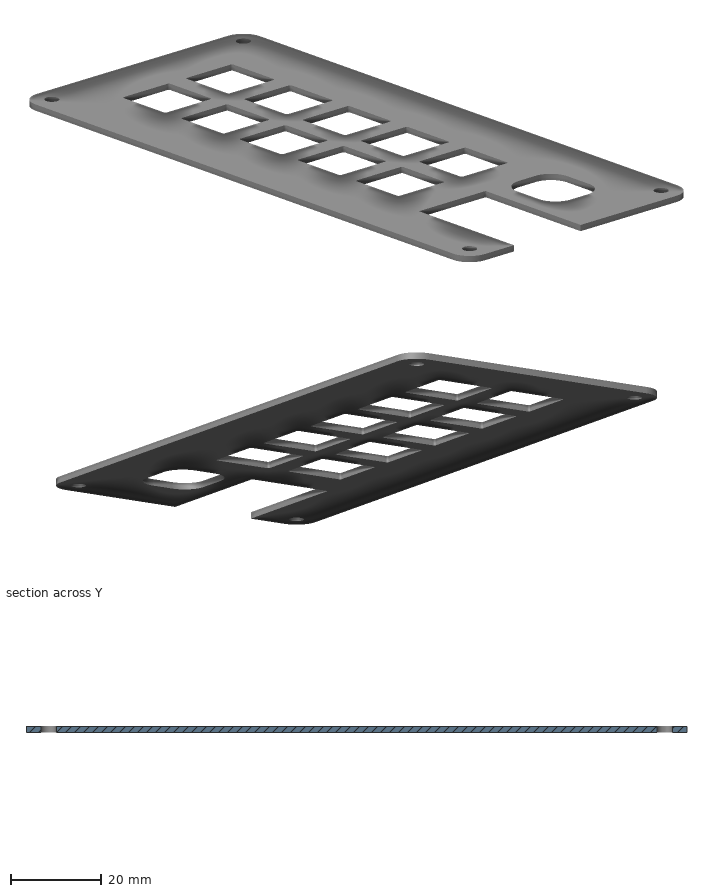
import cadquery as cq

plate_length = 146.2
plate_width = 67.5
plate_thickness = 1.5
corner_radius = 5.0

mount_hole_diameter = 3.4
mount_hole_inset = corner_radius

key_size = 14.0
key_pitch = 19.0
key_columns = 5
key_rows = 2
key_grid_center_x = -13.5
key_corner_radius = 0.5

slot_left_x = 42.1
slot_top_y = 0.0
slot_width = 20.0

window_length = 17.0
window_height = 15.0
window_bottom_y = 5.0
window_corner_radius = 5.0


def rounded_block(length, width, radius, center_x=0.0, center_y=0.0):
    """Block as thick as the plate with rounded vertical edges."""
    return (
        cq.Workplane("XY")
        .center(center_x, center_y)
        .rect(length, width)
        .extrude(plate_thickness)
        .edges("|Z")
        .fillet(radius)
    )


def mount_holes():
    """Four through holes, one near each plate corner."""
    return (
        cq.Workplane("XY")
        .rect(plate_length - 2 * mount_hole_inset, plate_width - 2 * mount_hole_inset, forConstruction=True)
        .vertices()
        .circle(mount_hole_diameter / 2)
        .extrude(plate_thickness)
    )


def key_openings():
    """Grid of square openings with slightly rounded corners."""
    return (
        cq.Workplane("XY")
        .center(key_grid_center_x, 0)
        .rarray(key_pitch, key_pitch, key_columns, key_rows)
        .rect(key_size, key_size)
        .extrude(plate_thickness)
        .edges("|Z")
        .fillet(key_corner_radius)
    )


def edge_slot():
    """Rectangular slot that runs out through the +X edge."""
    slot_length = plate_length / 2 - slot_left_x
    return (
        cq.Workplane("XY")
        .center(slot_left_x + slot_length / 2, slot_top_y - slot_width / 2)
        .rect(slot_length, slot_width)
        .extrude(plate_thickness)
    )


def window():
    """Rounded rectangular opening between the slot and the upper edge."""
    return rounded_block(
        window_length,
        window_height,
        window_corner_radius,
        slot_left_x + window_length / 2,
        window_bottom_y + window_height / 2,
    )


plate = rounded_block(plate_length, plate_width, corner_radius)
result = plate.cut(mount_holes()).cut(key_openings()).cut(edge_slot()).cut(window())